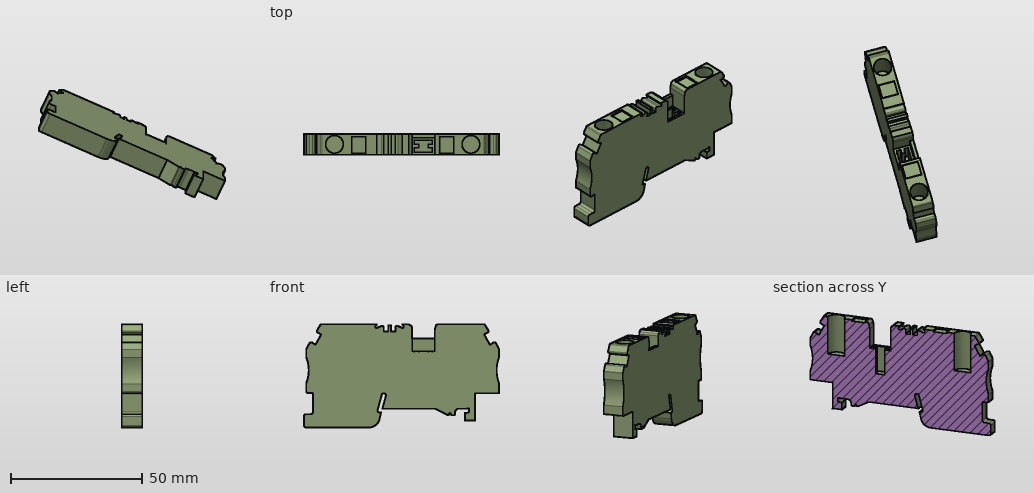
import cadquery as cq
import math

length = 74.5
thickness = 8.0
height = 39.5

end_left_x = 0.9
ends_axis_x = (end_left_x + length) / 2

marker_axis_x = 32.7
marker_lip_x = 27.9
marker_undercut_x = 27.35
marker_channel_x = 30.5
marker_floor_z = 36.7
marker_rib_top_z = 39.0
marker_rib_width = 1.1

window_left_x = 41.3
window_right_x = 49.85
window_floor_z = 29.1
left_slope_run = 1.35
left_slope_drop = 0.95
left_slope_radius = 1.0
right_slope_run = 0.55
right_slope_drop = 2.5
right_slope_radius = 1.24
back_wall_top_z = 34.0
back_wall_thickness = 1.4

rail_seat_z = 7.15
left_shoulder_z = 13.2
left_neck_x = 3.45
left_foot_top_z = 5.15
foot_right_x = 29.5
foot_lip_z = 5.8
foot_corner_radius = 4.3
right_shoulder_z = 13.05
stop_right_x = 57.7
stop_bottom_z = 4.65
hook_left_x = 61.4
hook_right_x = 65.3
hook_bottom_z = 2.65
hook_throat_x = 62.9

slot_width = 1.55
slot_tilt = 15.0
slot_top_z = 13.05
slot_top_x = 30.7
slot_bottom_z = 5.9
slot_end_radius = 0.7

hollow_center_z = 21.85
hollow_height = 10.1
hollow_depth = 0.95

hole_diameter = 6.75
hole_x = 11.7
hole_depth = 15.0
recess_left_x = 18.25
recess_length = 5.4
recess_front_y = 0.6
recess_width = 6.2
recess_depth = 0.5

socket_left_x = 42.2
socket_length = 6.8
socket_front_y = 1.05
socket_width = 4.6
socket_tongue_length = 1.6
socket_tongue_width = 1.35
socket_tongue_front_y = 2.7
socket_depth = 10.0


def mirrored(corners, axis_x):
    """Mirror (x, z, radius) corners about a vertical line, in reversed order."""
    return [(2 * axis_x - x, z, radius) for x, z, radius in reversed(corners)]


def box(x, y, z, size_x, size_y, size_z):
    return cq.Workplane("XY").box(size_x, size_y, size_z, centered=False).translate((x, y, z))


def corner_arc(before, corner, after):
    """Start, middle and end of the arc that rounds one corner."""
    x, z, radius = corner
    angle_in = math.atan2(before[1] - z, before[0] - x)
    angle_out = math.atan2(after[1] - z, after[0] - x)
    half = math.acos(math.cos(angle_in - angle_out)) / 2
    setback = radius / math.tan(half)
    bisector_x = math.cos(angle_in) + math.cos(angle_out)
    bisector_z = math.sin(angle_in) + math.sin(angle_out)
    reach = (radius / math.sin(half) - radius) / math.hypot(bisector_x, bisector_z)
    start = (x + setback * math.cos(angle_in), z + setback * math.sin(angle_in))
    middle = (x + reach * bisector_x, z + reach * bisector_z)
    end = (x + setback * math.cos(angle_out), z + setback * math.sin(angle_out))
    return start, middle, end


def extrude_rounded(corners):
    """Extrude a closed outline of (x, z, radius) corners through the thickness."""
    outline = cq.Workplane("XZ").moveTo(*corners[-1][:2])
    for index, corner in enumerate(corners):
        if corner[2] == 0:
            outline = outline.lineTo(*corner[:2])
            continue
        after = corners[(index + 1) % len(corners)]
        start, middle, end = corner_arc(corners[index - 1], corner, after)
        outline = outline.lineTo(*start).threePointArc(middle, end)
    return outline.close().extrude(-thickness)


def left_end_corners():
    """Left end from its side up to the top face, with the latch notch."""
    return [
        (end_left_x, 29.9, 0.3),
        (2.5, 32.9, 0.75),
        (4.45, 31.65, 0),
        (6.6, 35.5, 0),
        (4.7, 36.55, 0.5),
        (6.5, height, 0.5),
    ]


def left_marker_corners():
    """Left half of the marker groove: undercut lip, bevelled land and deep channel beside the rib."""
    rib_left_x = marker_axis_x - marker_rib_width / 2
    return [
        (marker_lip_x, height, 0),
        (marker_lip_x, 39.15, 0),
        (marker_undercut_x, 38.9, 0.2),
        (marker_undercut_x, 37.8, 0.4),
        (marker_channel_x, 39.2, 0.7),
        (marker_channel_x, marker_floor_z, 0),
        (rib_left_x, marker_floor_z, 0),
        (rib_left_x, marker_rib_top_z, 0),
    ]


def window_corners():
    """Window whose upper edges each have a flat slope blended by an arc."""
    return [
        (window_left_x - left_slope_run, height, 0),
        (window_left_x, height - left_slope_drop, left_slope_radius),
        (window_left_x, window_floor_z, 0),
        (window_right_x, window_floor_z, 0),
        (window_right_x, height - right_slope_drop, 0),
        (window_right_x + right_slope_run, height, right_slope_radius),
    ]


def right_foot_corners():
    """Right shoulder, rail hook and the wedge-shaped stop with its small notch."""
    return [
        (length, right_shoulder_z, 0.3),
        (hook_right_x, right_shoulder_z, 0),
        (hook_right_x, hook_bottom_z, 0),
        (hook_left_x, hook_bottom_z, 0),
        (hook_left_x, 5.6, 0),
        (hook_throat_x, 5.8, 0.2),
        (hook_throat_x, 7.4, 0.2),
        (62.1, rail_seat_z, 0),
        (stop_right_x, rail_seat_z, 1.3),
        (stop_right_x, stop_bottom_z, 0.6),
        (56.3, stop_bottom_z, 0.3),
        (55.7, 5.7, 0.1),
        (55.15, 4.6, 0.3),
        (50.2, rail_seat_z, 0),
    ]


def slot_corners():
    """Up the right wall of the slanted slot, around its top and down the left wall."""
    half_width_x = slot_width / 2 / math.cos(math.radians(slot_tilt))

    def axis_x(z):
        return slot_top_x + (z - slot_top_z) * math.tan(math.radians(slot_tilt))

    return [
        (axis_x(rail_seat_z) + half_width_x, rail_seat_z, 0),
        (axis_x(slot_top_z) + half_width_x, slot_top_z, slot_end_radius),
        (axis_x(slot_top_z) - half_width_x, slot_top_z, slot_end_radius),
        (axis_x(slot_bottom_z) - half_width_x, slot_bottom_z, slot_end_radius),
    ]


def left_foot_corners():
    """Springy left foot, from its lip below the slot around the bottom to the left shoulder."""
    return [
        (foot_right_x, foot_lip_z, 0),
        (28.2, 0, foot_corner_radius),
        (0, 0, 1.0),
        (0, left_foot_top_z, 0.85),
        (left_neck_x, left_foot_top_z, 0.9),
        (left_neck_x, left_shoulder_z, 0.25),
        (end_left_x, left_shoulder_z, 0.65),
    ]


def make_body():
    end = left_end_corners()
    marker = left_marker_corners()
    return extrude_rounded(
        end
        + marker
        + mirrored(marker, marker_axis_x)
        + window_corners()
        + mirrored(end, ends_axis_x)
        + right_foot_corners()
        + slot_corners()
        + left_foot_corners()
    )


def make_back_wall():
    return box(
        window_left_x,
        thickness - back_wall_thickness,
        window_floor_z,
        window_right_x - window_left_x,
        back_wall_thickness,
        back_wall_top_z - window_floor_z,
    )


def make_hollows():
    """Cylinders whose shallow segments form the hollows in both ends."""
    radius = ((hollow_height / 2) ** 2 + hollow_depth**2) / (2 * hollow_depth)
    center_x = end_left_x + hollow_depth - radius
    centers = [
        (center_x, hollow_center_z),
        (2 * ends_axis_x - center_x, hollow_center_z),
    ]
    return cq.Workplane("XZ").pushPoints(centers).circle(radius).extrude(-thickness)


def make_holes():
    centers = [(hole_x, thickness / 2), (2 * ends_axis_x - hole_x, thickness / 2)]
    return (
        cq.Workplane("XY", origin=(0, 0, height))
        .pushPoints(centers)
        .circle(hole_diameter / 2)
        .extrude(-hole_depth)
    )


def make_recesses():
    floor_z = height - recess_depth
    right_x = 2 * ends_axis_x - recess_left_x - recess_length
    left = box(recess_left_x, recess_front_y, floor_z, recess_length, recess_width, recess_depth)
    right = box(right_x, recess_front_y, floor_z, recess_length, recess_width, recess_depth)
    return left.union(right)


def make_socket():
    """Rectangular pocket with a tongue of material reaching in from each end."""
    floor_z = window_floor_z - socket_depth
    socket = box(socket_left_x, socket_front_y, floor_z, socket_length, socket_width, socket_depth)
    right_tongue_x = socket_left_x + socket_length - socket_tongue_length
    for tongue_x in (socket_left_x, right_tongue_x):
        tongue = box(
            tongue_x,
            socket_tongue_front_y,
            floor_z,
            socket_tongue_length,
            socket_tongue_width,
            socket_depth,
        )
        socket = socket.cut(tongue)
    return socket


result = (
    make_body()
    .union(make_back_wall())
    .cut(make_hollows())
    .cut(make_holes())
    .cut(make_recesses())
    .cut(make_socket())
)